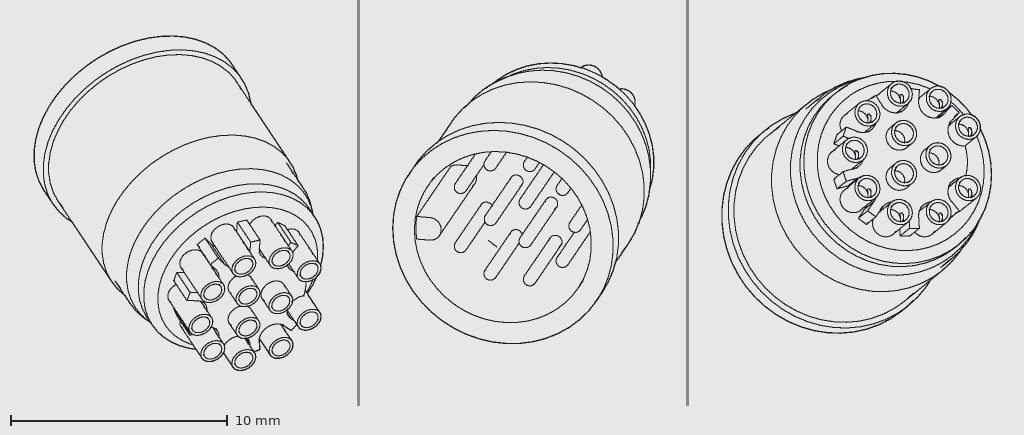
import cadquery as cq
import math

LENGTH = 14.25

FLANGE_END = 1.1
BARREL_END = 7.41
TAPER_START = 9.32
TAPER_END = 9.7
COLLAR_START = 10.62
COLLAR_END = 11.75

FLANGE_R = 10.45 / 2
BARREL_R = 9.9 / 2
REAR_BARREL_R = 9.6 / 2
TAPER_DROP = 0.1
TAPER_END_R = REAR_BARREL_R - TAPER_DROP
GROOVE_R = 8.0 / 2
COLLAR_R = 9.0 / 2
SHOULDER_FILLET = BARREL_R - REAR_BARREL_R
GROOVE_FILLET = 0.5
COLLAR_CHAMFER = 0.5

BORE_R = 8.38 / 2
BORE_DEPTH = BARREL_END
BORE_FILLET = 0.3

KEY_FRONT = 0.3
KEY_WIDTH = 1.11
KEY_TIP_R = 2.99

OUTER_CIRCLE_R = 2.9
OUTER_COUNT = 9
OUTER_PITCH = 37.5
INNER_CIRCLE_R = 1.1
INNER_COUNT = 3
PIN_R = 0.6 / 2
PIN_TIP = 1.91
CUP_R = 1.2 / 2
CUP_BORE_R = 0.9 / 2
WINDOW_R = 0.51 / 2
WINDOW_X = 13.05
CUP_FLOOR = WINDOW_X - WINDOW_R

INSERT_END = 13.32
SCALLOP_R = 1.4 / 2
SPOKE_TIP_R = 3.3
HALF_PITCH = math.radians(OUTER_PITCH / 2)
HUB_R = OUTER_CIRCLE_R * math.cos(HALF_PITCH)
SPOKE_WIDTH = 2 * (OUTER_CIRCLE_R * math.sin(HALF_PITCH) - SCALLOP_R)

OUTER_START = 180 - OUTER_PITCH * (OUTER_COUNT - 1) / 2
OUTER_ANGLES = [OUTER_START + OUTER_PITCH * i for i in range(OUTER_COUNT)]
INNER_ANGLES = [360 / INNER_COUNT * i for i in range(INNER_COUNT)]
SPOKE_ANGLES = [angle + OUTER_PITCH / 2 for angle in OUTER_ANGLES[:-1]]


def polar(radius, degrees):
    """Y, Z position at a radius and angle around the X axis."""
    angle = math.radians(degrees)
    return radius * math.cos(angle), radius * math.sin(angle)


def rod(radius, start, end, centers):
    """Cylinders along X from start to end, one at each Y, Z center."""
    plane = cq.Workplane("YZ", origin=(start, 0, 0))
    return plane.pushPoints(centers).circle(radius).extrude(end - start)


def quarter_arc_middle(center_x, center_r, radius, x_sign, r_sign):
    """Middle point of a quarter arc lying to the given sides of its center."""
    offset = radius * math.sqrt(0.5)
    return center_x + x_sign * offset, center_r + r_sign * offset


def make_shell():
    """Revolved shell, solid behind the bore floor."""
    shoulder_end = BARREL_END + SHOULDER_FILLET
    groove_start = TAPER_END + GROOVE_FILLET
    shoulder_mid = quarter_arc_middle(shoulder_end, BARREL_R, SHOULDER_FILLET, -1, -1)
    groove_mid = quarter_arc_middle(groove_start, GROOVE_R + GROOVE_FILLET, GROOVE_FILLET, -1, -1)
    bore_mid = quarter_arc_middle(BORE_DEPTH - BORE_FILLET, BORE_R - BORE_FILLET, BORE_FILLET, 1, 1)
    profile = (
        cq.Workplane("XY")
        .moveTo(0, BORE_R)
        .lineTo(0, FLANGE_R)
        .lineTo(FLANGE_END, FLANGE_R)
        .lineTo(FLANGE_END, BARREL_R)
        .lineTo(BARREL_END, BARREL_R)
        .threePointArc(shoulder_mid, (shoulder_end, REAR_BARREL_R))
        .lineTo(TAPER_START, REAR_BARREL_R)
        .lineTo(TAPER_END, TAPER_END_R)
        .lineTo(TAPER_END, GROOVE_R + GROOVE_FILLET)
        .threePointArc(groove_mid, (groove_start, GROOVE_R))
        .lineTo(COLLAR_START, GROOVE_R)
        .lineTo(COLLAR_START, COLLAR_R)
        .lineTo(COLLAR_END - COLLAR_CHAMFER, COLLAR_R)
        .lineTo(COLLAR_END, COLLAR_R - COLLAR_CHAMFER)
        .lineTo(COLLAR_END, 0)
        .lineTo(BORE_DEPTH, 0)
        .lineTo(BORE_DEPTH, BORE_R - BORE_FILLET)
        .threePointArc(bore_mid, (BORE_DEPTH - BORE_FILLET, BORE_R))
        .close()
    )
    return profile.revolve(360, (0, 0, 0), (1, 0, 0))


def make_key():
    """Round-nosed key rooted in the bore wall and running to the bore floor."""
    half_width = KEY_WIDTH / 2
    root_y = (BORE_R + BARREL_R) / 2
    nose_y = KEY_TIP_R + half_width
    return (
        cq.Workplane("YZ", origin=(KEY_FRONT, 0, 0))
        .moveTo(root_y, half_width)
        .lineTo(nose_y, half_width)
        .threePointArc((KEY_TIP_R, 0), (nose_y, -half_width))
        .lineTo(root_y, -half_width)
        .close()
        .extrude(BORE_DEPTH - KEY_FRONT)
    )


def make_insert(outer_centers):
    """Hub behind the collar, scalloped around the outer cups, with its spokes."""
    insert = rod(HUB_R, COLLAR_END, INSERT_END, [(0, 0)])
    insert = insert.cut(rod(SCALLOP_R, COLLAR_END, INSERT_END, outer_centers))
    spoke_length = SPOKE_TIP_R - HUB_R
    spoke_root = HUB_R - spoke_length
    for angle in SPOKE_ANGLES:
        spoke = (
            cq.Workplane("YZ", origin=(COLLAR_END, 0, 0))
            .center((spoke_root + SPOKE_TIP_R) / 2, 0)
            .rect(SPOKE_TIP_R - spoke_root, SPOKE_WIDTH)
            .extrude(INSERT_END - COLLAR_END)
            .rotate((0, 0, 0), (1, 0, 0), angle)
        )
        insert = insert.union(spoke)
    return insert


def make_pins(centers):
    """Round-tipped pins standing on the bore floor."""
    dome_center = PIN_TIP + PIN_R
    domes = cq.Workplane("YZ", origin=(dome_center, 0, 0)).pushPoints(centers).sphere(PIN_R)
    return rod(PIN_R, dome_center, BORE_DEPTH, centers).union(domes)


def make_windows(centers):
    """Cutters for the round window through the +Y wall of each cup."""
    windows = cq.Workplane("XY")
    for y, z in centers:
        window = cq.Workplane("XZ", origin=(WINDOW_X, y, z)).circle(WINDOW_R).extrude(-CUP_R)
        windows = windows.add(window)
    return windows.combine()


outer_centers = [polar(OUTER_CIRCLE_R, angle) for angle in OUTER_ANGLES]
inner_centers = [polar(INNER_CIRCLE_R, angle) for angle in INNER_ANGLES]
contact_centers = outer_centers + inner_centers

outer_cups = rod(CUP_R, COLLAR_END, LENGTH, outer_centers).cut(make_windows(outer_centers))
inner_cups = rod(CUP_R, COLLAR_END, LENGTH, inner_centers)

result = (
    make_shell()
    .union(make_key())
    .union(make_pins(contact_centers))
    .union(make_insert(outer_centers))
    .union(outer_cups)
    .union(inner_cups)
    .cut(rod(CUP_BORE_R, CUP_FLOOR, LENGTH, contact_centers))
)